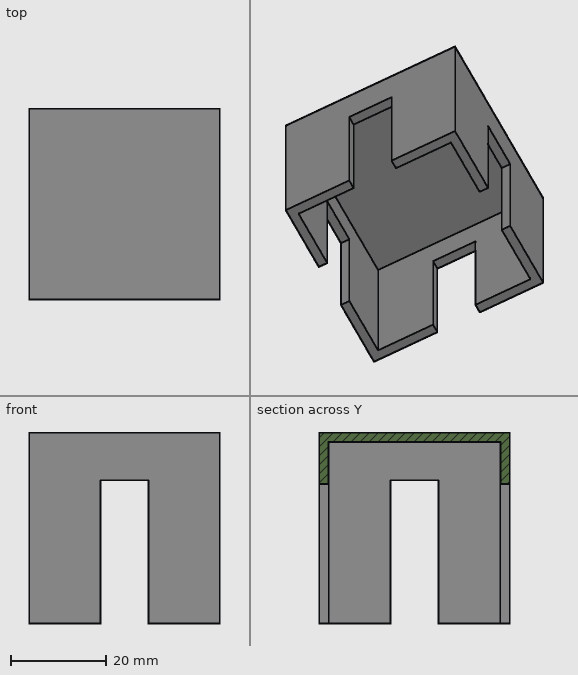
import cadquery as cq

side = 40.0
wall = 2.0
slot_width = 10.0
front_slot_height = 30.0
side_slot_height = 29.2

block = cq.Workplane("XY").box(side, side, side, centered=(True, True, False))

cavity_width = side - 2 * wall
cavity = cq.Workplane("XY").box(
    cavity_width, cavity_width, side - wall, centered=(True, True, False)
)

slot_along_y = cq.Workplane("XY").box(
    slot_width, side, front_slot_height, centered=(True, True, False)
)
slot_along_x = cq.Workplane("XY").box(
    side, slot_width, side_slot_height, centered=(True, True, False)
)

result = block.cut(cavity).cut(slot_along_y).cut(slot_along_x)